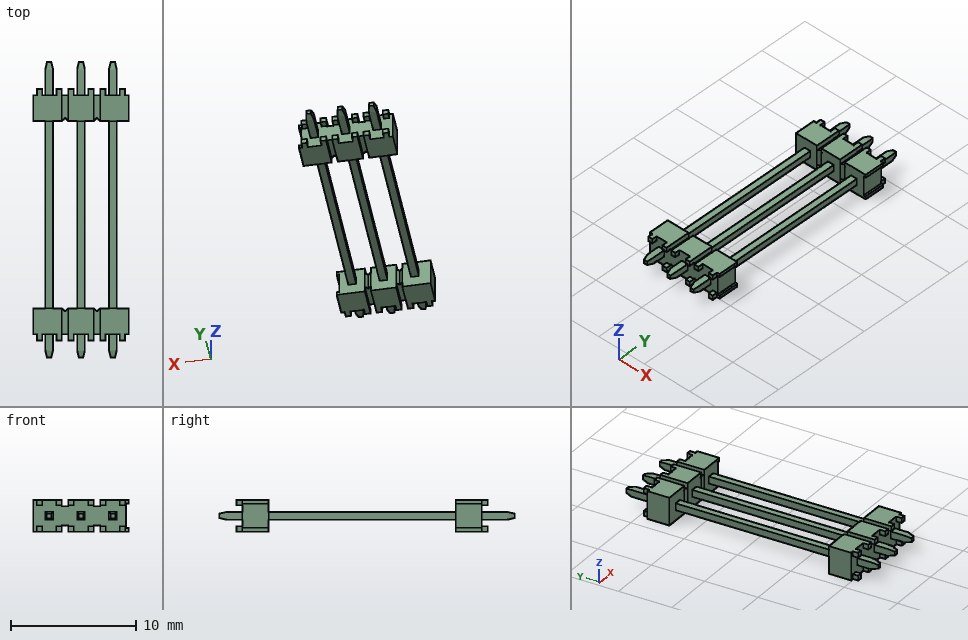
import cadquery as cq


pin_count = 3
pin_length = 23.62
pin_width = 0.64
tip_width = 0.35
tip_length = 0.6

housing_width = 7.63
housing_height = 2.55
housing_depth = 2.08
rear_pin_exposed = 2.65
front_pin_exposed = 1.87
pitch = housing_width / pin_count

groove_width = 0.5
groove_depth = 0.5
vee_depth = groove_width / 2

foot_size = 0.45
foot_length = 0.5
end_foot_inset = 0.28

end_recess_depth = 0.21
end_lip_height = 0.3


def centred_places(count):
    """X places of a centred row at the pin pitch."""
    return [(i - (count - 1) / 2) * pitch for i in range(count)]


pin_places = centred_places(pin_count)
groove_places = centred_places(pin_count - 1)


def block(x_start, y_start, z_start, x_size, y_size, z_size):
    """Box placed by its lowest corner."""
    box = cq.Workplane("XY").box(x_size, y_size, z_size, centered=False)
    return box.translate((x_start, y_start, z_start))


def make_pin_tip():
    """Square taper that starts at Y = 0 and narrows toward -Y."""
    return (
        cq.Workplane("XZ")
        .rect(pin_width, pin_width)
        .workplane(offset=tip_length)
        .rect(tip_width, tip_width)
        .loft(combine=True)
    )


def make_pin(x):
    """Square pin with a tapered tip at both ends."""
    shank_length = pin_length - 2 * tip_length
    pin = cq.Workplane("XY").box(pin_width, shank_length, pin_width)
    front_tip = make_pin_tip().translate((0, -shank_length / 2, 0))
    pin = pin.union(front_tip).union(front_tip.mirror("XZ"))
    return pin.translate((x, 0, 0))


def foot_starts():
    """Lower X edge of every foot: beside each groove and near both ends."""
    starts = [-housing_width / 2 + end_foot_inset]
    for x in groove_places:
        starts.append(x - groove_width / 2 - foot_size)
        starts.append(x + groove_width / 2)
    starts.append(housing_width / 2 - end_foot_inset - foot_size)
    return starts


def make_vee_cutter(x):
    """45-degree notch through the full height of the inner face."""
    return (
        cq.Workplane("XY", origin=(x, housing_depth, -housing_height / 2))
        .moveTo(-groove_width / 2, 0)
        .lineTo(0, -vee_depth)
        .lineTo(groove_width / 2, 0)
        .close()
        .extrude(housing_height)
    )


def make_housing():
    """Housing with its outer face at Y = 0, feet toward -Y and body toward +Y."""
    half_width = housing_width / 2
    half_height = housing_height / 2
    housing = block(-half_width, 0, -half_height, housing_width, housing_depth, housing_height)

    for x in groove_places:
        for z_start in (-half_height, half_height - groove_depth):
            groove = block(x - groove_width / 2, 0, z_start, groove_width, housing_depth, groove_depth)
            housing = housing.cut(groove)
        housing = housing.cut(make_vee_cutter(x))

    recess = block(
        half_width - end_recess_depth, 0, -half_height + end_lip_height,
        end_recess_depth, housing_depth, housing_height - 2 * end_lip_height,
    )
    housing = housing.cut(recess)

    for x_start in foot_starts():
        for z_start in (-half_height, half_height - foot_size):
            foot = block(x_start, -foot_length, z_start, foot_size, foot_length, foot_size)
            housing = housing.union(foot)
    return housing


front_face_y = -pin_length / 2 + front_pin_exposed
rear_face_y = pin_length / 2 - rear_pin_exposed

housing = make_housing()
result = housing.translate((0, front_face_y, 0))
result = result.union(housing.mirror("XZ").translate((0, rear_face_y, 0)))
for pin_x in pin_places:
    result = result.union(make_pin(pin_x))